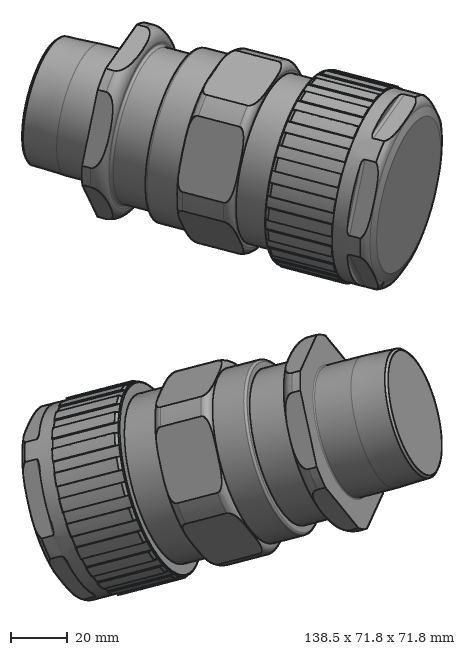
import cadquery as cq
import math


across_flats = 65.0
hex_corner_diameter = 70.7
flat_count = 6

spigot_diameter = 48.2
spigot_tip_diameter = 47.2
spigot_tip_chamfer = 0.9
spigot_taper_end_x = 13.9
entry_hex_start_x = 28.4
entry_hex_end_x = 36.6
entry_hex_rounding = 5.0
spigot_root_fillet = 0.4
neck_diameter = 57.4
neck_root_fillet = 1.0

skirt_diameter = 64.0
skirt_start_x = 51.0
skirt_edge_rounding = 0.9
nut_hex_start_x = 63.9
nut_hex_end_x = 85.8
nut_hex_rounding = 3.0
sleeve_diameter = 62.2

overall_length = 138.5
back_nut_start_x = 98.5
rib_count = 24
rib_diameter = 71.9
rib_angle = 8.0
rib_end_x = 124.4
rib_lead_in_end_x = 100.2
rim_chamfer = 0.4
groove_floor_diameter = 70.8
groove_cutter_clearance = 1.4
cap_diameter = 70.7
cap_flat_start_x = 130.0
cap_flat_root_fillet = 1.0
cap_rounding_start_x = 135.2
cap_crease_x = 137.5
cap_crease_diameter = 64.2
cap_rounding = 3.6
cap_end_diameter = 57.2

neck_end_x = nut_hex_start_x
sleeve_end_x = rib_end_x


def cylinder(diameter, start_x, end_x):
    return cq.Workplane("YZ", origin=(start_x, 0, 0)).circle(diameter / 2).extrude(end_x - start_x)


def spun(profile):
    """Turn a profile drawn in (x, radius) into a solid around the X axis."""
    return profile.close().revolve(360, (0, 0, 0), (1, 0, 0))


def hexagon_prism(start_x, end_x):
    corner_to_corner = across_flats / math.cos(math.pi / flat_count)
    prism = cq.Workplane("YZ", origin=(start_x, 0, 0))
    return prism.polygon(flat_count, corner_to_corner).extrude(end_x - start_x)


def rounded_hexagon(start_x, end_x, rounding, rounded_ends):
    """Hexagon whose corners are turned to a cylinder with rounded end edges."""
    turned = cylinder(hex_corner_diameter, start_x, end_x).edges(rounded_ends).fillet(rounding)
    return turned.intersect(hexagon_prism(start_x, end_x))


def make_entry_adaptor():
    spigot_radius = spigot_diameter / 2
    neck_radius = neck_diameter / 2
    tip_radius = spigot_tip_diameter / 2
    spigot = spun(
        cq.Workplane("XY")
        .moveTo(0, 0)
        .lineTo(0, tip_radius - spigot_tip_chamfer)
        .lineTo(spigot_tip_chamfer, tip_radius)
        .lineTo(spigot_taper_end_x, spigot_radius)
        .lineTo(entry_hex_start_x - spigot_root_fillet, spigot_radius)
        .radiusArc((entry_hex_start_x, spigot_radius + spigot_root_fillet), -spigot_root_fillet)
        .lineTo(entry_hex_start_x, 0)
    )
    neck = spun(
        cq.Workplane("XY")
        .moveTo(entry_hex_end_x, 0)
        .lineTo(entry_hex_end_x, neck_radius + neck_root_fillet)
        .radiusArc((entry_hex_end_x + neck_root_fillet, neck_radius), -neck_root_fillet)
        .lineTo(neck_end_x, neck_radius)
        .lineTo(neck_end_x, 0)
    )
    hexagon = rounded_hexagon(entry_hex_start_x, entry_hex_end_x, entry_hex_rounding, ">X")
    return hexagon.union(spigot).union(neck)


def make_middle_nut():
    skirt = cylinder(skirt_diameter, skirt_start_x, nut_hex_start_x)
    skirt = skirt.faces("<X").edges().fillet(skirt_edge_rounding)
    hexagon = rounded_hexagon(nut_hex_start_x, nut_hex_end_x, nut_hex_rounding, "%CIRCLE")
    sleeve = cylinder(sleeve_diameter, nut_hex_end_x, sleeve_end_x)
    neck_bore = cylinder(neck_diameter, skirt_start_x, neck_end_x)
    return hexagon.union(skirt).union(sleeve).cut(neck_bore)


def make_rib_grooves():
    """Shallow grooves that leave the ribs standing, one between each two ribs."""
    pitch = 360 / rib_count
    half_angle = math.radians(pitch - rib_angle) / 2
    floor_radius = groove_floor_diameter / 2
    outer_radius = rib_diameter / 2 + groove_cutter_clearance
    corners = [
        (radius * math.cos(angle), radius * math.sin(angle))
        for radius, angle in (
            (floor_radius, half_angle),
            (outer_radius, half_angle),
            (outer_radius, -half_angle),
            (floor_radius, -half_angle),
        )
    ]
    groove = (
        cq.Workplane("YZ", origin=(back_nut_start_x, 0, 0))
        .polyline(corners)
        .threePointArc((floor_radius, 0), corners[0])
        .close()
        .extrude(rib_end_x - back_nut_start_x)
    )
    return [groove.rotate((0, 0, 0), (1, 0, 0), index * pitch) for index in range(rib_count)]


def make_cap_flat_cutters():
    """Blocks that mill the six wrench flats, each with a rounded inner edge."""
    block_height = hex_corner_diameter - across_flats
    block_length = overall_length - cap_flat_start_x
    block = (
        cq.Workplane("XY", origin=(cap_flat_start_x, 0, across_flats / 2))
        .box(block_length, cap_diameter, block_height, centered=(False, True, False))
        .edges("<X and <Z")
        .fillet(cap_flat_root_fillet)
    )
    return [block.rotate((0, 0, 0), (1, 0, 0), index * 360 / flat_count) for index in range(flat_count)]


def make_back_nut():
    rim_radius = groove_floor_diameter / 2
    rib_radius = rib_diameter / 2
    ribbed_part = spun(
        cq.Workplane("XY")
        .moveTo(back_nut_start_x, 0)
        .lineTo(back_nut_start_x, rim_radius - rim_chamfer)
        .lineTo(back_nut_start_x + rim_chamfer, rim_radius)
        .lineTo(rib_lead_in_end_x, rib_radius)
        .lineTo(rib_end_x, rib_radius)
        .lineTo(rib_end_x, 0)
    )
    for groove in make_rib_grooves():
        ribbed_part = ribbed_part.cut(groove)

    cap = spun(
        cq.Workplane("XY")
        .moveTo(rib_end_x, 0)
        .lineTo(rib_end_x, cap_diameter / 2)
        .lineTo(cap_rounding_start_x, cap_diameter / 2)
        .radiusArc((cap_crease_x, cap_crease_diameter / 2), cap_rounding)
        .lineTo(overall_length, cap_end_diameter / 2)
        .lineTo(overall_length, 0)
    )
    for cutter in make_cap_flat_cutters():
        cap = cap.cut(cutter)

    sleeve_bore = cylinder(sleeve_diameter, back_nut_start_x, sleeve_end_x)
    return ribbed_part.union(cap).cut(sleeve_bore)


entry_adaptor = make_entry_adaptor()
middle_nut = make_middle_nut()
back_nut = make_back_nut()

result = cq.Compound.makeCompound([entry_adaptor.val(), middle_nut.val(), back_nut.val()])